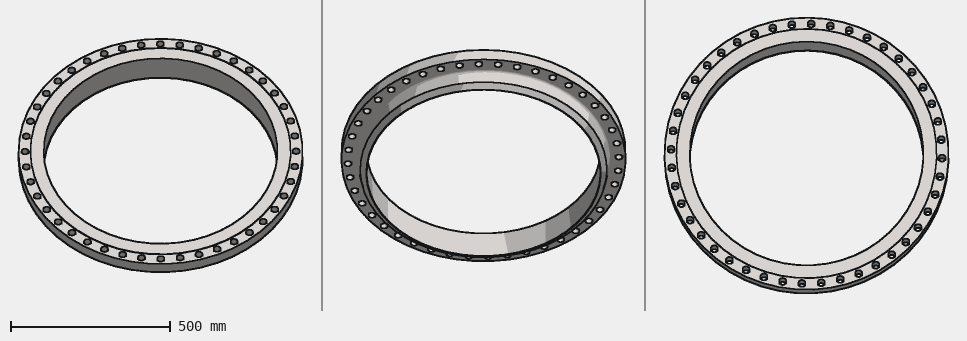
import cadquery as cq

outer_radius = 444.0
total_height = 100.0
bore_radius = 365.0
raised_face_radius = 406.0
raised_face_height = 1.95
flange_thickness = 43.0

hub_top_radius = 392.0
hub_bottom_radius = 385.0
hub_fillet_radius = 10.0
bevel_height = 14.0
tip_radius = 366.5

bolt_count = 44
bolt_circle_radius = 423.0
bolt_hole_diameter = 22.0

flange_top = total_height - raised_face_height
flange_bottom = flange_top - flange_thickness

hub_corner_rank = 3


def flange_body():
    """Revolve the half section (radius, height) and round the hub into the flange."""
    body = (
        cq.Workplane("XZ")
        .moveTo(bore_radius, 0)
        .lineTo(tip_radius, 0)
        .lineTo(hub_bottom_radius, bevel_height)
        .lineTo(hub_top_radius, flange_bottom)
        .lineTo(outer_radius, flange_bottom)
        .lineTo(outer_radius, flange_top)
        .lineTo(raised_face_radius, flange_top)
        .lineTo(raised_face_radius, total_height)
        .lineTo(bore_radius, total_height)
        .close()
        .revolve(360, (0, 0, 0), (0, 1, 0))
    )
    hub_corner = body.edges(cq.selectors.RadiusNthSelector(hub_corner_rank))
    return hub_corner.fillet(hub_fillet_radius)


def bolt_holes():
    """Ring of cylinders through the flange, the first one on the +X axis."""
    return (
        cq.Workplane("XY")
        .workplane(offset=flange_bottom)
        .polarArray(bolt_circle_radius, 0, 360, bolt_count)
        .circle(bolt_hole_diameter / 2)
        .extrude(flange_thickness)
    )


result = flange_body().cut(bolt_holes())